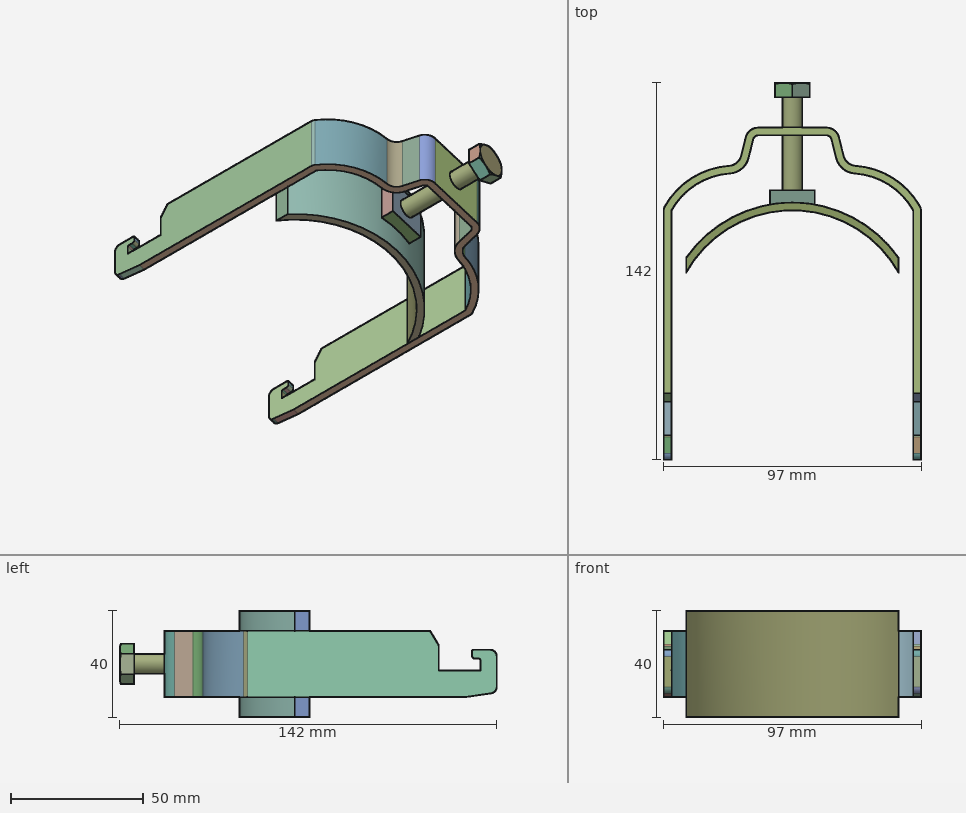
import cadquery as cq
import math

overall_length = 142.0
outer_width = 97.0
sheet = 3.0

strap_height = 25.0
crown_y = 125.2
crown_inner_radius = 2.0
wall_tilt = math.radians(14)
neck_outer_radius = 5.0
neck_x = 24.1
shoulder_x = 21.7
shoulder_y = 80.7
shoulder_inner_radius = 27.3

notch_back_y = 21.9
notch_front_y = 6.2
notch_floor_z = -2.4
ramp_start_y = 25.1
ramp_end_z = 7.1
lip_tip_y = 9.4
lip_under_z = 2.0
lip_top_z = 5.4
foot_start_y = 11.8
foot_end_z = -10.8
hook_end_radius = 2.5
ramp_radius = 1.4
lip_under_radius = 1.1
lip_small_radius = 0.5

saddle_width = 80.1
saddle_height = 40.0
saddle_top_y = 97.0
saddle_outer_radius = 48.8
pad_width = 16.9
pad_top_y = 101.7

shank_diameter = 7.5
head_flats = 13.2
head_height = 5.4
head_chamfer = 0.4


def make_strap_void():
    """Space enclosed by the strap, with its round stretches tangent to each other."""
    half_width = outer_width / 2 - sheet
    inner_crown_y = crown_y - sheet
    neck_radius = neck_outer_radius + sheet
    center_distance = shoulder_inner_radius + neck_radius
    lean = math.asin((neck_x - shoulder_x) / center_distance)
    neck_y = shoulder_y + center_distance * math.cos(lean)

    cos_tilt = math.cos(wall_tilt)
    sin_tilt = math.sin(wall_tilt)
    corner_y = inner_crown_y - crown_inner_radius
    wall_offset = neck_radius + crown_inner_radius
    corner_x = neck_x - (wall_offset + (corner_y - neck_y) * sin_tilt) / cos_tilt

    def on_arc(x, y, radius, angle):
        """Point on an arc of the +X half, angle counted from +X."""
        return (x + radius * math.cos(angle), y + radius * math.sin(angle))

    shoulder_start = math.acos((half_width - shoulder_x) / shoulder_inner_radius)
    shoulder_end = math.pi / 2 - lean
    neck_start = -math.pi / 2 - lean
    neck_end = wall_tilt - math.pi
    shoulder = [
        on_arc(shoulder_x, shoulder_y, shoulder_inner_radius, a)
        for a in (shoulder_start, (shoulder_start + shoulder_end) / 2, shoulder_end)
    ]
    neck = [
        on_arc(neck_x, neck_y, neck_radius, a)
        for a in ((neck_start + neck_end) / 2, neck_end)
    ]
    corner = [
        on_arc(corner_x, corner_y, crown_inner_radius, a)
        for a in (wall_tilt, (wall_tilt + math.pi / 2) / 2, math.pi / 2)
    ]

    def mirrored(point):
        return (-point[0], point[1])

    open_end_y = -2 * sheet
    return (
        cq.Workplane("XY", origin=(0, 0, -strap_height / 2))
        .moveTo(half_width, open_end_y)
        .lineTo(*shoulder[0])
        .threePointArc(shoulder[1], shoulder[2])
        .threePointArc(neck[0], neck[1])
        .lineTo(*corner[0])
        .threePointArc(corner[1], corner[2])
        .lineTo(*mirrored(corner[2]))
        .threePointArc(mirrored(corner[1]), mirrored(corner[0]))
        .lineTo(*mirrored(neck[1]))
        .threePointArc(mirrored(neck[0]), mirrored(shoulder[2]))
        .threePointArc(mirrored(shoulder[1]), mirrored(shoulder[0]))
        .lineTo(-half_width, open_end_y)
        .close()
    )


def make_side_profile():
    """Side outline of the strap and its hooks, extruded across the whole width."""
    half_height = strap_height / 2
    ramp_end = (notch_back_y, ramp_end_z)
    lip_root = (notch_front_y, lip_under_z)
    lip_under = (lip_tip_y, lip_under_z)
    lip_top = (lip_tip_y, lip_top_z)
    hook_top = (0, lip_top_z)
    hook_bottom = (0, foot_end_z)
    outline = [
        (overall_length, -half_height),
        (overall_length, half_height),
        (ramp_start_y, half_height),
        ramp_end,
        (notch_back_y, notch_floor_z),
        (notch_front_y, notch_floor_z),
        lip_root,
        lip_under,
        lip_top,
        hook_top,
        hook_bottom,
        (foot_start_y, -half_height),
    ]
    profile = cq.Workplane("YZ").polyline(outline).close().extrude(outer_width / 2, both=True)
    rounded_corners = [
        (ramp_end, ramp_radius),
        (lip_root, lip_small_radius),
        (lip_under, lip_under_radius),
        (lip_top, lip_small_radius),
        (hook_top, hook_end_radius),
        (hook_bottom, hook_end_radius),
    ]
    for (y, z), radius in rounded_corners:
        profile = profile.edges("|X").edges(cq.NearestToPointSelector((0, y, z))).fillet(radius)
    return profile


def make_strap():
    void = make_strap_void().extrude(strap_height)
    envelope = make_strap_void().offset2D(sheet, "arc").extrude(strap_height)
    bolt_hole = cylinder_along_y(shank_diameter, pad_top_y, overall_length)
    return envelope.cut(void).intersect(make_side_profile()).cut(bolt_hole)


def cylinder_along_y(diameter, start_y, end_y):
    return (
        cq.Workplane("XZ", origin=(0, end_y, 0))
        .circle(diameter / 2)
        .extrude(end_y - start_y)
    )


def make_saddle():
    """Curved pressure plate, trimmed by flat ends, with the pad that takes the bolt."""
    center_y = saddle_top_y - saddle_outer_radius
    shell = (
        cq.Workplane("XY", origin=(0, center_y, 0))
        .circle(saddle_outer_radius)
        .circle(saddle_outer_radius - sheet)
        .extrude(saddle_height / 2, both=True)
    )
    front_half = cq.Workplane("XY").box(
        saddle_width, saddle_outer_radius, saddle_height
    ).translate((0, center_y + saddle_outer_radius / 2, 0))
    pad_bottom_y = saddle_top_y - sheet / 2
    pad = cq.Workplane("XY").box(
        pad_width, pad_top_y - pad_bottom_y, pad_width
    ).translate((0, (pad_top_y + pad_bottom_y) / 2, 0))
    return shell.intersect(front_half).union(pad)


def make_bolt():
    head_base_y = overall_length - head_height
    head_corners = head_flats / math.cos(math.pi / 6)
    hexagon = (
        cq.Workplane("XZ", origin=(0, overall_length, 0))
        .transformed(rotate=(0, 0, 90))
        .polygon(6, head_corners)
        .extrude(head_height)
    )
    chamfered_blank = (
        cylinder_along_y(head_corners, head_base_y, overall_length)
        .faces(">Y")
        .chamfer(head_chamfer, (head_corners - head_flats) / 2)
    )
    shank = cylinder_along_y(shank_diameter, pad_top_y, head_base_y)
    return hexagon.intersect(chamfered_blank).union(shank)


strap = make_strap()
saddle = make_saddle()
bolt = make_bolt()

bodies = [body.solids().val() for body in (strap, saddle, bolt)]
result = cq.Compound.makeCompound(bodies)